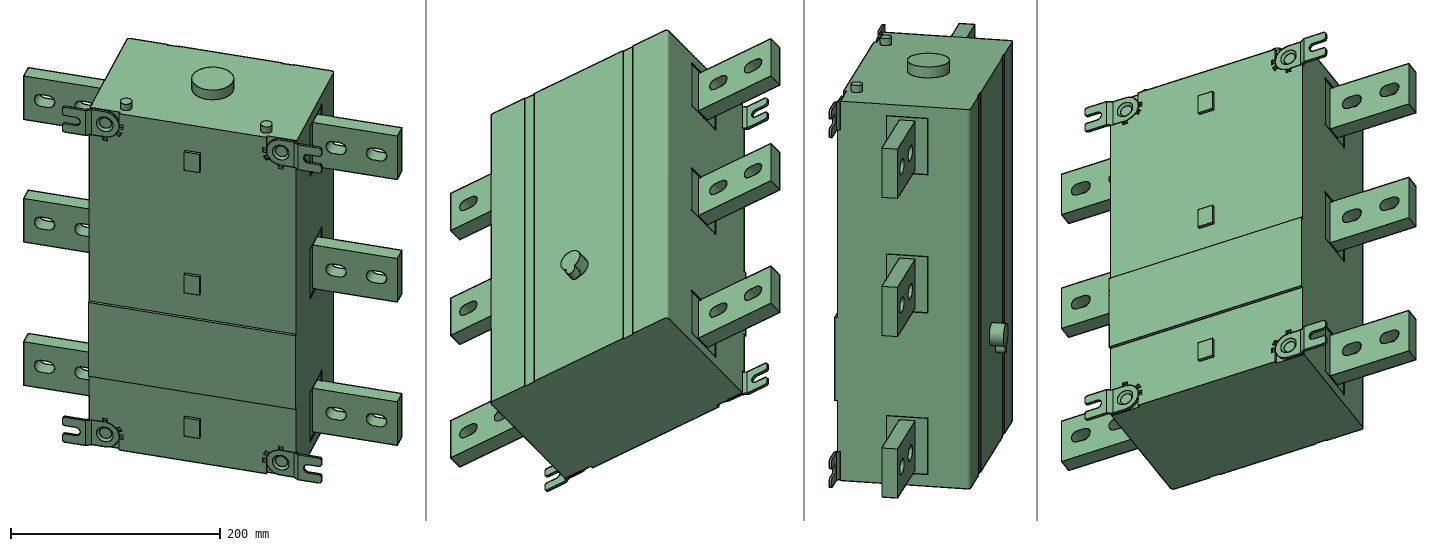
import cadquery as cq
overall_width = 372.0
overall_depth = 146.0
overall_height = 394.5

body_width = 206.0
body_height = 383.5
body_front = 2.8
body_back = 132.0
back_edge_radius = 3.0
half_width = body_width / 2
half_height = body_height / 2

groove_offset = 57.2
groove_width = 11.0
groove_depth = 0.8

band_top = -27.2
band_bottom = -111.2
pad_width = 15.5
pad_height = 21.0

pole_heights = (151.5, 12.0, -151.5)
bar_height = 49.7
bar_thickness = 15.5
bar_depth_center = 70.5
slot_length = 20.0
slot_width = 13.5
slot_offsets = (125.0, 165.3)
window_width = 40.2
window_height = 57.0
window_recess = 1.0

button_radius = 20.0
peg_radius = 5.5
peg_height = 7.0
peg_offset = 70.0
peg_depth_center = 15.0

knob_height = -70.0
knob_radius = 11.0
pointer_reach = 18.0
pointer_width = 9.5
pointer_thickness = 9.0

foot_x = -87.5
foot_z = 176.7
foot_radius = 14.2
foot_thickness = 2.5
foot_seat_front = 3.0
foot_seat_floor = foot_seat_front + foot_thickness
foot_outer_end = -129.0
joggle_start = -105.7
joggle_end = -100.5
fork_slot_end = -111.2
fork_slot_width = 9.5
fork_tip_radius = 2.8
screw_hole_radius = 6.0
countersink_radius = 8.3
tooth_reach = 18.0
tooth_width = 4.7
tooth_angles = (0, -30, -90)


def block(x_range, y_range, z_range):
    """Box spanning the given (low, high) ranges."""
    lows, highs = zip(x_range, y_range, z_range)
    sizes = [high - low for low, high in zip(lows, highs)]
    return cq.Workplane("XY").box(*sizes, centered=False).translate(lows)


def centered(middle, size):
    """(low, high) range of the given size about a middle value."""
    return (middle - size / 2, middle + size / 2)


def rod_along_y(x, z, radius, y_range):
    """Cylinder along Y between two depths."""
    solid = cq.Workplane("XZ").circle(radius).extrude(y_range[0] - y_range[1])
    return solid.translate((x, y_range[0], z))


def make_housing():
    across = centered(0, body_width)
    upright = centered(0, body_height)
    housing = block(across, (body_front, body_back), upright)
    housing = housing.edges("|Z and >Y").fillet(back_edge_radius)
    for side in (-1, 1):
        groove_span = centered(side * groove_offset, groove_width)
        housing = housing.cut(block(groove_span, (body_back - groove_depth, body_back), upright))
    housing = housing.union(block(across, (0, body_front), (band_bottom, band_top)))
    for z in pole_heights:
        housing = housing.union(
            block(centered(0, pad_width), (0, body_front), centered(z, pad_height))
        )
    return housing


def cut_side_windows(housing):
    floor = half_width - window_recess
    for z in pole_heights:
        for x_range in ((-half_width, -floor), (floor, half_width)):
            housing = housing.cut(
                block(x_range, centered(bar_depth_center, window_width), centered(z, window_height))
            )
    return housing


def make_terminal_bar(z):
    """One bar running through the housing, with slotted ends on both sides."""
    thickness_range = centered(bar_depth_center, bar_thickness)
    bar = block(centered(0, overall_width), thickness_range, centered(z, bar_height))
    slot_centers = [(side * x, z) for x in slot_offsets for side in (-1, 1)]
    slots = (
        cq.Workplane("XZ", origin=(0, thickness_range[0], 0))
        .pushPoints(slot_centers)
        .slot2D(slot_length, slot_width)
        .extrude(-bar_thickness)
    )
    return bar.cut(slots)


def make_top_details():
    top = cq.Workplane("XY", origin=(0, 0, half_height))
    button = top.center(0, bar_depth_center).circle(button_radius).extrude(overall_height - body_height)
    peg_centers = [(side * peg_offset, peg_depth_center) for side in (-1, 1)]
    pegs = top.pushPoints(peg_centers).circle(peg_radius).extrude(peg_height)
    return button.union(pegs)


def make_knob():
    """Round knob with a round-tipped pointer hanging below its outer part."""
    knob = rod_along_y(0, knob_height, knob_radius, (body_back, overall_depth))
    depths = (overall_depth - pointer_thickness, overall_depth)
    tip_radius = pointer_width / 2
    tip_height = knob_height - pointer_reach + tip_radius
    pointer = block(centered(0, pointer_width), depths, (tip_height, knob_height))
    pointer = pointer.union(rod_along_y(0, tip_height, tip_radius, depths))
    return knob.union(pointer)


def make_foot_recess():
    """Pocket that seats a foot: round bottom, open to the side and top, with locking teeth."""
    depths = (body_front, foot_seat_floor)
    recess = rod_along_y(foot_x, foot_z, foot_radius, depths)
    recess = recess.union(block((-half_width, foot_x), depths, (foot_z - foot_radius, half_height)))
    recess = recess.union(block((foot_x, foot_x + foot_radius), depths, (foot_z, half_height)))
    tooth = block((0, tooth_reach), depths, centered(0, tooth_width))
    for angle in tooth_angles:
        turned = tooth.rotate((0, 0, 0), (0, 1, 0), -angle)
        recess = recess.union(turned.translate((foot_x, 0, foot_z)))
    return recess


def make_foot():
    """Joggled strip with a round screwed end and an open fork at the outer end."""
    inner_end = foot_x + foot_radius
    strip = (
        cq.Workplane("XY", origin=(0, 0, foot_z - foot_radius))
        .polyline([
            (foot_outer_end, 0),
            (joggle_start, 0),
            (joggle_end, foot_seat_front),
            (inner_end, foot_seat_front),
            (inner_end, foot_seat_floor),
            (joggle_end, foot_seat_floor),
            (joggle_start, foot_thickness),
            (foot_outer_end, foot_thickness),
        ])
        .close()
        .extrude(2 * foot_radius)
    )
    depths = (0, foot_seat_floor)
    outline = block((foot_outer_end, foot_x), depths, centered(foot_z, 2 * foot_radius))
    slot_radius = fork_slot_width / 2
    slot_center = fork_slot_end - slot_radius
    outline = outline.cut(block((foot_outer_end, slot_center), depths, centered(foot_z, fork_slot_width)))
    outline = outline.edges("|Y and <X").fillet(fork_tip_radius)
    outline = outline.cut(rod_along_y(slot_center, foot_z, slot_radius, depths))
    outline = outline.union(rod_along_y(foot_x, foot_z, foot_radius, depths))
    countersunk_hole = (
        cq.Workplane("XZ", origin=(foot_x, foot_seat_front, foot_z))
        .circle(countersink_radius)
        .workplane(offset=-foot_thickness)
        .circle(screw_hole_radius)
        .loft(combine=True)
    )
    return strip.intersect(outline).cut(countersunk_hole)


def at_four_corners(shape):
    """The shape and its mirror images in the other three corners."""
    left_pair = [shape, shape.mirror("XY")]
    return left_pair + [item.mirror("YZ") for item in left_pair]


result = cut_side_windows(make_housing())
for recess in at_four_corners(make_foot_recess()):
    result = result.cut(recess)
for foot in at_four_corners(make_foot()):
    result = result.union(foot)
for pole_height in pole_heights:
    result = result.union(make_terminal_bar(pole_height))
result = result.union(make_top_details()).union(make_knob())